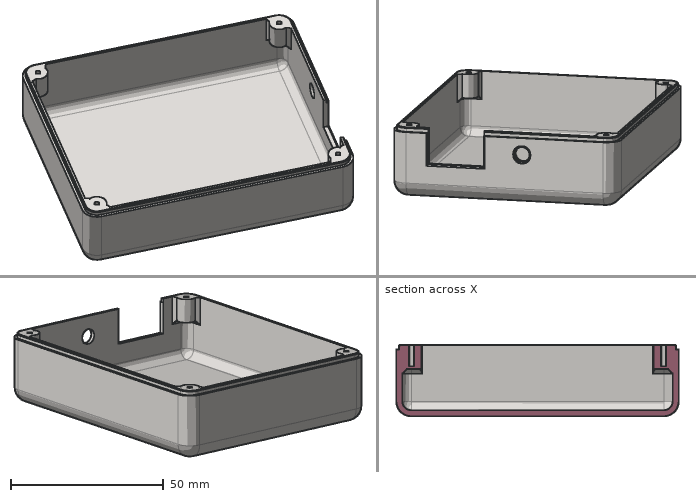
import cadquery as cq
import math

LENGTH_X = 76.6
LENGTH_Y = 92.9
HEIGHT = 23.5
CORNER_RADIUS = 5.0
WALL = 2.0
FILLET_SLACK = 0.01

LIP_HEIGHT = 1.5
LIP_INSET = 0.9
LIP_CHAMFER = 0.3

BOSS_RADIUS = 3.25
BOSS_WEB_REACH = 3.6
BOSS_WEB_ANGLE = 27
BOSS_SUPPORT = 1.5
BOSS_WALL_OVERLAP = 0.5
BOSS_HEIGHT = 8.0
SCREW_HOLE_DIAMETER = 1.6
SCREW_HOLE_DEPTH = 7.0

OPENING_CHAMFER = 0.5
NOTCH_CENTER_X = 16.4
NOTCH_WIDTH = 18.95
NOTCH_DEPTH = 12.0
PORT_HOLE_DIAMETER = 5.0
PORT_HOLE_X = -5.9
PORT_HOLE_Z = 16.4

INNER_RADIUS = CORNER_RADIUS - WALL
SHOULDER_Z = HEIGHT - LIP_HEIGHT
BOSS_X = LENGTH_X / 2 - CORNER_RADIUS
BOSS_Y = LENGTH_Y / 2 - CORNER_RADIUS


def rounded_block(inset, bottom, top):
    """Block inset evenly from the outer walls, with rounded vertical edges."""
    block = cq.Workplane("XY").workplane(offset=bottom)
    block = block.rect(LENGTH_X - 2 * inset, LENGTH_Y - 2 * inset).extrude(top - bottom)
    return block.edges("|Z").fillet(CORNER_RADIUS - inset)


def shell():
    """Open tray with rounded floor edges and a chamfered, stepped rim."""
    body = rounded_block(0, 0, SHOULDER_Z).faces("<Z").edges().fillet(CORNER_RADIUS - FILLET_SLACK)
    lip = rounded_block(LIP_INSET, SHOULDER_Z - WALL, HEIGHT).faces(">Z").edges().chamfer(LIP_CHAMFER)
    cavity = rounded_block(WALL, WALL, HEIGHT).faces("<Z").edges().fillet(INNER_RADIUS - FILLET_SLACK)
    return body.union(lip).cut(cavity)


def boss_footprint(bottom):
    """Plan outline of a +X +Y boss: a round post joined to both walls by slanted webs."""
    outer = INNER_RADIUS + BOSS_WALL_OVERLAP
    web_angle = math.radians(BOSS_WEB_ANGLE)
    web_near = BOSS_RADIUS * math.sin(web_angle)
    web_far = BOSS_RADIUS * math.cos(web_angle)
    post_diagonal = -BOSS_RADIUS / math.sqrt(2)
    corner_diagonal = outer / math.sqrt(2)
    outline = (
        cq.Workplane("XY")
        .moveTo(-BOSS_WEB_REACH, INNER_RADIUS)
        .lineTo(-web_far, web_near)
        .threePointArc((post_diagonal, post_diagonal), (web_near, -web_far))
        .lineTo(INNER_RADIUS, -BOSS_WEB_REACH)
        .lineTo(outer, -BOSS_WEB_REACH)
        .lineTo(outer, 0)
        .threePointArc((corner_diagonal, corner_diagonal), (0, outer))
        .lineTo(-BOSS_WEB_REACH, outer)
        .close()
    )
    return outline.extrude(HEIGHT - bottom).translate((BOSS_X, BOSS_Y, bottom))


def boss():
    """Screw boss in the +X +Y corner, with a sloped support along the walls below it."""
    bottom = HEIGHT - BOSS_HEIGHT
    support_bottom = bottom - BOSS_SUPPORT
    clearance = (
        cq.Workplane("XY")
        .workplane(offset=support_bottom)
        .rect(LENGTH_X - 2 * CORNER_RADIUS, LENGTH_Y - 2 * CORNER_RADIUS)
        .offset2D(INNER_RADIUS)
        .extrude(BOSS_SUPPORT, taper=45)
    )
    hole = (
        cq.Workplane("XY", origin=(BOSS_X, BOSS_Y, HEIGHT - SCREW_HOLE_DEPTH))
        .circle(SCREW_HOLE_DIAMETER / 2)
        .extrude(SCREW_HOLE_DEPTH)
    )
    return boss_footprint(support_bottom).cut(clearance).cut(hole)


def four_corners(corner):
    """Copy a +X +Y corner feature into all four corners."""
    pair = corner.union(corner.mirror("YZ"))
    return pair.union(pair.mirror("XZ"))


def connector_notch():
    """Cutter for the open-topped notch in the +Y wall, flared at the outer face."""
    floor_z = HEIGHT - NOTCH_DEPTH
    notch = cq.Workplane("XY").box(NOTCH_WIDTH, WALL, NOTCH_DEPTH).translate(
        (NOTCH_CENTER_X, (LENGTH_Y - WALL) / 2, floor_z + NOTCH_DEPTH / 2)
    )
    flare = (
        cq.Workplane("XZ", origin=(NOTCH_CENTER_X, LENGTH_Y / 2, HEIGHT))
        .rect(NOTCH_WIDTH + 2 * OPENING_CHAMFER, 2 * (NOTCH_DEPTH + OPENING_CHAMFER))
        .workplane(offset=OPENING_CHAMFER)
        .rect(NOTCH_WIDTH, 2 * NOTCH_DEPTH)
        .loft(ruled=True)
    )
    return notch.union(flare)


def port_hole():
    """Cutter for the round hole through the +Y wall, countersunk at the outer face."""
    outer_face = cq.Workplane("XZ", origin=(PORT_HOLE_X, LENGTH_Y / 2, PORT_HOLE_Z))
    hole = outer_face.circle(PORT_HOLE_DIAMETER / 2).extrude(WALL)
    countersink = (
        outer_face.circle(PORT_HOLE_DIAMETER / 2 + OPENING_CHAMFER)
        .workplane(offset=OPENING_CHAMFER)
        .circle(PORT_HOLE_DIAMETER / 2)
        .loft()
    )
    return hole.union(countersink)


result = shell().union(four_corners(boss())).cut(connector_notch()).cut(port_hole())